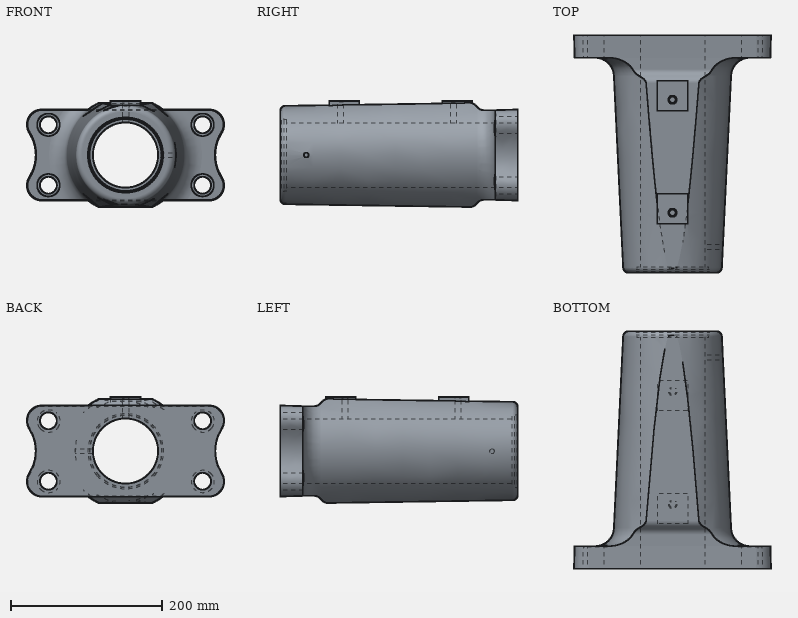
import cadquery as cq
import math

length = 315.0

plate_thickness = 30.2
plate_half_width = 130.7
plate_half_height = 60.5
plate_waist_half_width = 119.0
plate_corner_radius = 20.2
plate_draft = 1.8
bolt_x = 102.0
bolt_z = 40.0
bolt_diameter = 22.0
spotface_diameter = 30.0
spotface_depth = 1.0

barrel_root_radius = 77.8
barrel_nose_radius = 65.2
nose_fillet = 8.0
flare_start = 53.5
flare_radius = 103.0

neck_half_height = plate_half_height - plate_thickness * math.tan(math.radians(plate_draft))
flat_root_height = 69.0
flat_nose_height = 65.2
shoulder_start = 45.5
shoulder_end = 63.5
shoulder_radius = 10.7

bore_diameter = 86.0
seat_diameter = 95.0
seat_depth = 8.2
mouth_diameter = 96.0
mouth_depth = 4.7
mouth_chamfer = 2.0

pad_size = 40.0
pad_top = 71.8
pad_base = 60.0
pad_starts = (60.5, 210.0)
pad_hole_setback = 25.2
pad_hole_diameter = 8.5
pad_hole_mouth_diameter = 11.0

cross_hole_diameter = 6.3
cross_hole_setback = 34.5



def make_plate():
    corner_x = plate_half_width - plate_corner_radius
    corner_z = plate_half_height - plate_corner_radius
    gap = plate_waist_half_width - corner_x
    waist_radius = (corner_z**2 + gap**2 - plate_corner_radius**2) / (2 * (plate_corner_radius - gap))
    waist_x = plate_waist_half_width + waist_radius
    blend = plate_corner_radius / (plate_corner_radius + waist_radius)
    tangent_x = corner_x + blend * (waist_x - corner_x)
    tangent_z = corner_z * (1 - blend)
    outline = (
        cq.Workplane("XZ")
        .moveTo(-corner_x, plate_half_height)
        .lineTo(corner_x, plate_half_height)
        .threePointArc((plate_half_width, corner_z), (tangent_x, tangent_z))
        .threePointArc((plate_waist_half_width, 0), (tangent_x, -tangent_z))
        .threePointArc((plate_half_width, -corner_z), (corner_x, -plate_half_height))
        .lineTo(-corner_x, -plate_half_height)
        .threePointArc((-plate_half_width, -corner_z), (-tangent_x, -tangent_z))
        .threePointArc((-plate_waist_half_width, 0), (-tangent_x, tangent_z))
        .threePointArc((-plate_half_width, corner_z), (-corner_x, plate_half_height))
        .close()
    )
    return outline.extrude(plate_thickness, taper=plate_draft)


def make_barrel():
    flare_width = flare_radius - barrel_root_radius
    flare_length = flare_start - plate_thickness
    middle = 1 - math.sqrt(0.5)
    return (
        cq.Workplane("XY")
        .lineTo(0, -length)
        .lineTo(barrel_nose_radius, -length)
        .lineTo(barrel_root_radius, -flare_start)
        .threePointArc(
            (barrel_root_radius + middle * flare_width, -plate_thickness - middle * flare_length),
            (flare_radius, -plate_thickness),
        )
        .lineTo(flare_radius, 0)
        .close()
        .revolve(360, (0, 0), (0, 1))
        .faces("<Y")
        .edges()
        .fillet(nose_fillet)
    )


def make_flat_envelope():
    slope_angle = math.radians(45)
    run = shoulder_radius * math.sin(slope_angle)
    rise = shoulder_radius - run
    mid_run = shoulder_radius * math.sin(slope_angle / 2)
    mid_rise = shoulder_radius * (1 - math.cos(slope_angle / 2))
    return (
        cq.Workplane("YZ")
        .lineTo(0, neck_half_height)
        .lineTo(-shoulder_start, neck_half_height)
        .threePointArc(
            (-shoulder_start - mid_run, neck_half_height + mid_rise),
            (-shoulder_start - run, neck_half_height + rise),
        )
        .lineTo(-shoulder_end + run, flat_root_height - rise)
        .threePointArc(
            (-shoulder_end + mid_run, flat_root_height - mid_rise),
            (-shoulder_end, flat_root_height),
        )
        .lineTo(-length, flat_nose_height)
        .lineTo(-length, 0)
        .mirrorX()
        .extrude(plate_half_width, both=True)
    )


def make_pad(start):
    pad = cq.Workplane("XY").box(pad_size, pad_size, pad_top - pad_base, centered=(True, False, False))
    return pad.translate((0, -start - pad_size, pad_base))


def cylinder_along_y(diameter, start, depth, x=0, z=0):
    """Cylinder beginning `start` in front of the mounting face."""
    return cq.Workplane("XZ", origin=(x, -start, z)).circle(diameter / 2).extrude(depth)


def cut_bore(body):
    body = body.cut(cylinder_along_y(bore_diameter, 0, length))
    body = body.cut(cylinder_along_y(seat_diameter, length - seat_depth, seat_depth))
    body = body.cut(cylinder_along_y(mouth_diameter, length - mouth_depth, mouth_depth))
    mouth_edge = cq.selectors.RadiusNthSelector(0)
    return body.faces("<Y").edges(mouth_edge).chamfer(mouth_chamfer)


def cut_bolt_holes(body):
    spotface_start = plate_thickness - spotface_depth
    for x in (-bolt_x, bolt_x):
        for z in (-bolt_z, bolt_z):
            body = body.cut(cylinder_along_y(bolt_diameter, 0, flare_start, x, z))
            body = body.cut(cylinder_along_y(spotface_diameter, spotface_start, flare_start, x, z))
    return body


def cut_pad_hole(body, start):
    position = (0, -start - pad_hole_setback, 0)
    chamfer = (pad_hole_mouth_diameter - pad_hole_diameter) / 2
    drill = cq.Workplane("XY", origin=position).circle(pad_hole_diameter / 2).extrude(pad_top)
    countersink = (
        cq.Workplane("XY", origin=position)
        .workplane(offset=pad_top - chamfer)
        .circle(pad_hole_diameter / 2)
        .workplane(offset=chamfer)
        .circle(pad_hole_mouth_diameter / 2)
        .loft()
    )
    return body.cut(drill).cut(countersink)


def cut_cross_hole(body):
    position = (0, -length + cross_hole_setback, 0)
    drill = cq.Workplane("YZ", origin=position).circle(cross_hole_diameter / 2).extrude(barrel_root_radius)
    return body.cut(drill)


result = make_barrel().intersect(make_flat_envelope()).union(make_plate())
for pad_start in pad_starts:
    result = result.union(make_pad(pad_start))
result = cut_bore(result)
result = cut_bolt_holes(result)
for pad_start in pad_starts:
    result = cut_pad_hole(result, pad_start)
result = cut_cross_hole(result)